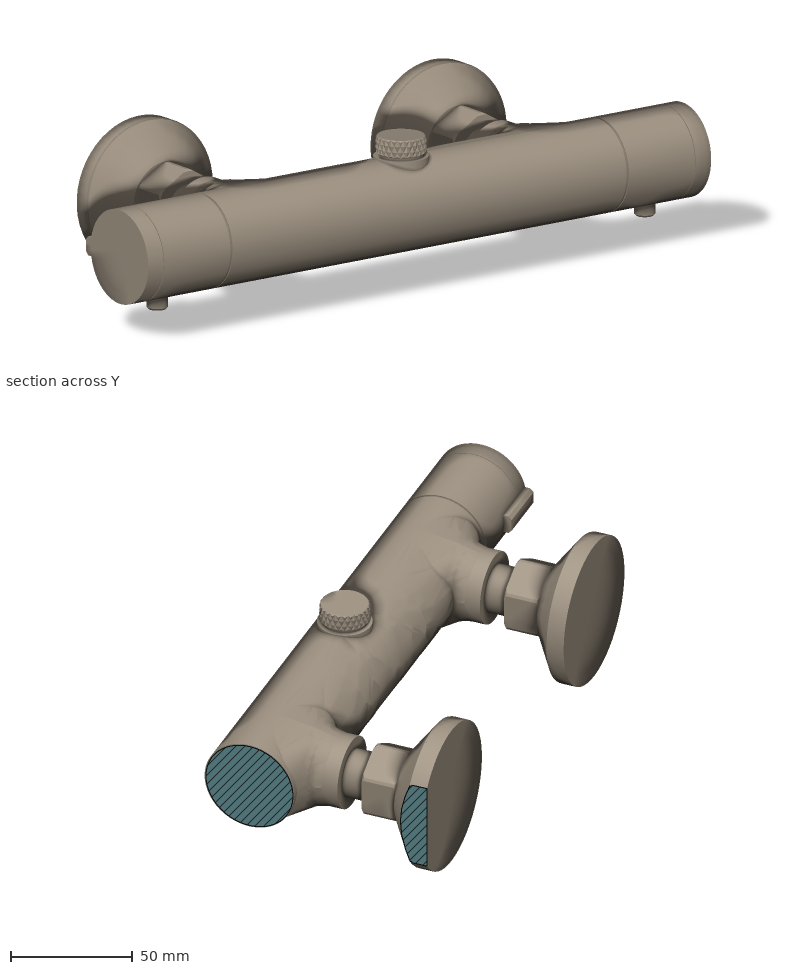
import cadquery as cq
import math

BAR_LENGTH = 287.5
BAR_DIAMETER = 40.0
BAR_RADIUS = BAR_DIAMETER / 2
OVERALL_DEPTH = 99.5
WALL_X = BAR_RADIUS - OVERALL_DEPTH
PORT_SPACING = 150.0

HANDLE_LENGTH = 42.5
HANDLE_JOINT_WIDTH = 1.2
CAP_LENGTH = 8.0
CAP_JOINT_WIDTH = 0.3
JOINT_DEPTH = 0.43

BULGE_REACH = 24.0

COLLAR_X = -35.0
COLLAR_END_X = -28.5
COLLAR_RADIUS = 15.5
BRANCH_SECTIONS = (
    (COLLAR_END_X, COLLAR_RADIUS, COLLAR_RADIUS),
    (-24.7, 16.0, 16.5),
    (-22.0, 18.0, 17.0),
    (-19.8, 22.7, 17.5),
    (-17.2, 28.2, 18.0),
    (-13.0, 37.5, 18.7),
    (-7.2, 51.8, 19.5),
    (0, 57.5, 19.8),
)

ESCUTCHEON_DIAMETER = 64.0
ESCUTCHEON_RIM = 7.0
ESCUTCHEON_LIP = 1.0
ESCUTCHEON_LIP_INSET = 0.3
CONE_END_RADIUS = 16.7
NUT_X = -61.0
NUT_LENGTH = 15.5
NUT_FLATS = 29.3
NUT_CORNER_DIAMETER = 33.0
NUT_CHAMFER = 1.0
PIPE_RADIUS = 10.4

RIDGE_LENGTH = 23.0
RIDGE_TIP_X = -23.3
RIDGE_HALF_HEIGHT = 4.0
RIDGE_CHAMFER = 1.5

PIN_DIAMETER = 9.0
PIN_BOTTOM_Z = -25.0
PIN_CHAMFER = 1.0
PIN_Y = 124.5

SEAT_DIAMETER = 23.0
SEAT_TOP_Z = 20.5
NECK_DIAMETER = 19.0
KNOB_DIAMETER = 21.3
KNOB_BOTTOM_Z = 21.5
KNOB_TOP_Z = 29.0
KNOB_CHAMFER = 1.0
KNURL_TEETH = 24
KNURL_DEPTH = 0.72
KNURL_TWIST = 1.5 * 360 / KNURL_TEETH


def rod(radius, start, end):
    """Cylinder along X on the port axis."""
    return cq.Workplane("YZ").workplane(offset=start).circle(radius).extrude(end - start)


def ring_groove(y, width):
    """Cutter for a shallow ring around the bar, centred at y."""
    return (
        cq.Workplane("XZ", origin=(0, y + width / 2, 0))
        .circle(2 * BAR_RADIUS)
        .circle(BAR_RADIUS - JOINT_DEPTH)
        .extrude(width)
    )


def make_body():
    """Bar with a half-elliptic bulge between the ports."""
    bar = cq.Workplane("XZ", origin=(0, BAR_LENGTH / 2, 0)).circle(BAR_RADIUS).extrude(BAR_LENGTH)
    bulge = (
        cq.Workplane("XZ", origin=(0, PORT_SPACING / 2, 0))
        .ellipseArc(BULGE_REACH, BAR_RADIUS, 90, 270, startAtCurrent=False)
        .close()
        .extrude(PORT_SPACING)
    )
    return bar.union(bulge)


def make_branch():
    """Trumpet from the round collar to a wide oval buried in the bar."""
    branch = cq.Workplane("YZ")
    previous_x = 0
    for x, half_width, half_height in BRANCH_SECTIONS:
        branch = branch.workplane(offset=x - previous_x).ellipse(half_width, half_height)
        previous_x = x
    return branch.loft().union(rod(COLLAR_RADIUS, COLLAR_X, COLLAR_END_X))


def make_wall_connection():
    """Escutcheon, hexagon nut and pipe on the port axis."""
    rim_radius = ESCUTCHEON_DIAMETER / 2
    lip_radius = rim_radius - ESCUTCHEON_LIP_INSET
    lip_x = WALL_X + ESCUTCHEON_RIM
    cone_x = lip_x + ESCUTCHEON_LIP
    escutcheon = (
        cq.Workplane("XY")
        .moveTo(WALL_X, 0)
        .lineTo(WALL_X, rim_radius)
        .lineTo(lip_x, rim_radius)
        .lineTo(lip_x, lip_radius)
        .lineTo(cone_x, lip_radius)
        .lineTo(NUT_X, CONE_END_RADIUS)
        .lineTo(NUT_X, 0)
        .close()
        .revolve(360, (0, 0, 0), (1, 0, 0))
    )
    nut_end = NUT_X + NUT_LENGTH
    nut = (
        cq.Workplane("YZ", origin=(NUT_X, 0, 0))
        .transformed(rotate=(0, 0, 90))
        .polygon(6, NUT_FLATS / math.cos(math.pi / 6))
        .extrude(NUT_LENGTH)
    )
    nut_blank = rod(NUT_CORNER_DIAMETER / 2, NUT_X, nut_end).faces("<X or >X").chamfer(NUT_CHAMFER)
    pipe = rod(PIPE_RADIUS, NUT_X, COLLAR_X)
    return escutcheon.union(nut.intersect(nut_blank)).union(pipe)


def make_ridge():
    """Grip ridge at the +Y end, chamfered along its tip."""
    return (
        cq.Workplane("XY")
        .box(-RIDGE_TIP_X, RIDGE_LENGTH, 2 * RIDGE_HALF_HEIGHT, centered=(False, False, True))
        .translate((RIDGE_TIP_X, BAR_LENGTH / 2 - RIDGE_LENGTH, 0))
        .edges("<X and |Y")
        .chamfer(RIDGE_CHAMFER)
    )


def make_pin():
    """Stop pin below the +Y handle."""
    return (
        cq.Workplane("XY", origin=(0, PIN_Y, PIN_BOTTOM_Z))
        .circle(PIN_DIAMETER / 2)
        .extrude(-PIN_BOTTOM_Z)
        .faces("<Z")
        .chamfer(PIN_CHAMFER)
    )


def knurl_teeth(twist):
    """Saw-tooth column twisted over the knob height."""
    outer = KNOB_DIAMETER / 2
    points = []
    for i in range(2 * KNURL_TEETH):
        radius = outer if i % 2 == 0 else outer - KNURL_DEPTH
        angle = math.pi * i / KNURL_TEETH
        points.append((radius * math.cos(angle), radius * math.sin(angle)))
    return (
        cq.Workplane("XY", origin=(0, 0, KNOB_BOTTOM_Z))
        .polyline(points)
        .close()
        .twistExtrude(KNOB_TOP_Z - KNOB_BOTTOM_Z, twist)
    )


def make_knob():
    """Diamond-knurled knob on a neck and a round seat."""
    seat = cq.Workplane("XY").circle(SEAT_DIAMETER / 2).extrude(SEAT_TOP_Z)
    neck = cq.Workplane("XY").circle(NECK_DIAMETER / 2).extrude(KNOB_BOTTOM_Z)
    blank = (
        cq.Workplane("XY", origin=(0, 0, KNOB_BOTTOM_Z))
        .circle(KNOB_DIAMETER / 2)
        .extrude(KNOB_TOP_Z - KNOB_BOTTOM_Z)
        .faces("<Z or >Z")
        .chamfer(KNOB_CHAMFER)
    )
    head = blank.intersect(knurl_teeth(KNURL_TWIST)).intersect(knurl_teeth(-KNURL_TWIST))
    return seat.union(neck).union(head)


result = make_body()
port = make_branch().union(make_wall_connection())
for side in (-1, 1):
    result = result.union(port.translate((0, side * PORT_SPACING / 2, 0)))

handle_joint_y = BAR_LENGTH / 2 - HANDLE_LENGTH
cap_joint_y = BAR_LENGTH / 2 - CAP_LENGTH
for joint_y, joint_width in ((handle_joint_y, HANDLE_JOINT_WIDTH), (cap_joint_y, CAP_JOINT_WIDTH)):
    for side in (-1, 1):
        result = result.cut(ring_groove(side * joint_y, joint_width))

handle_details = make_ridge().union(make_pin())
result = result.union(handle_details).union(handle_details.mirror("XZ")).union(make_knob())